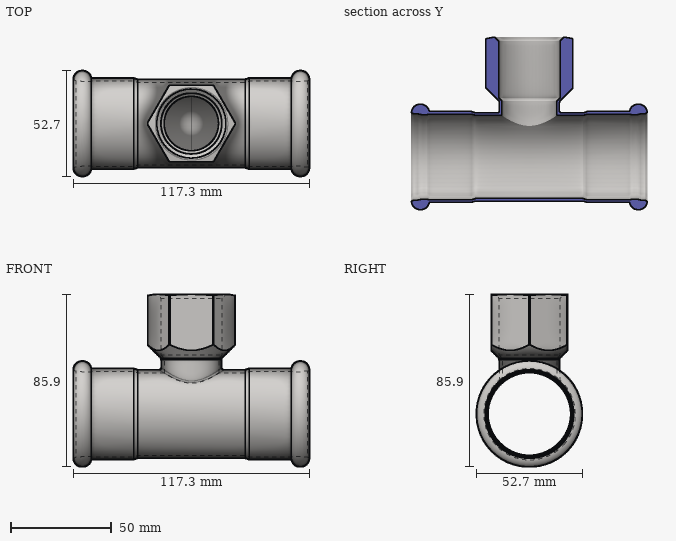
import cadquery as cq
import math


run_length = 117.3
run_outer_r = 44.0 / 2
run_bore_r = 41.0 / 2
socket_outer_r = 45.4 / 2
socket_bore_r = 42.4 / 2
step_outer_x = 28.7
step_inner_x = 26.7
mouth_x = run_length / 2

bead_outer_r = 52.7 / 2
bead_section_r = 4.58
bead_center_r = bead_outer_r - bead_section_r
bead_center_x = mouth_x - bead_section_r
bead_end_x = bead_center_x - math.sqrt(bead_section_r**2 - (socket_outer_r - bead_center_r) ** 2)

mouth_r = 44.0 / 2
lip_r = 42.7 / 2
seal_r = 41.8 / 2
lip_outer_x = mouth_x - 1.2
lip_inner_x = mouth_x - 3.2
seal_outer_x = mouth_x - 5.75
seal_inner_x = mouth_x - 7.85
seal_end_x = mouth_x - 9.1

neck_outer_r = 30.0 / 2
neck_bore_r = 27.0 / 2
neck_fillet = 1.0

total_height = 85.85
nut_top_z = total_height - bead_outer_r
nut_bottom_z = 27.7
nut_across_flats = 38.0
nut_corner_r = 43.5 / 2
nut_face_r = 36.0 / 2
top_cone_drop = 0.7
collar_r = 30.29 / 2
collar_height = 0.7

thread_r = 30.29 / 2
thread_mouth_r = 34.3 / 2


def revolve_about_x(profile):
    """Close a profile drawn in the XZ plane and spin it about the run axis."""
    return profile.close().revolve(360, (0, 0, 0), (1, 0, 0))


def revolve_about_z(profile):
    """Close a profile drawn in the XZ plane and spin it about the branch axis."""
    return profile.close().revolve(360, (0, 0, 0), (0, 1, 0))


def run_outside():
    """Run, sockets and rounded beads as one solid of revolution."""
    return revolve_about_x(
        cq.Workplane("XZ")
        .moveTo(-mouth_x, 0)
        .lineTo(-mouth_x, bead_center_r)
        .threePointArc((-bead_center_x, bead_outer_r), (-bead_end_x, socket_outer_r))
        .lineTo(-step_outer_x, socket_outer_r)
        .lineTo(-step_inner_x, run_outer_r)
        .lineTo(step_inner_x, run_outer_r)
        .lineTo(step_outer_x, socket_outer_r)
        .lineTo(bead_end_x, socket_outer_r)
        .threePointArc((bead_center_x, bead_outer_r), (mouth_x, bead_center_r))
        .lineTo(mouth_x, 0)
    )


def run_with_neck():
    """Outside of the run with the neck blended into it by a fillet."""
    neck = cq.Workplane("XY").circle(neck_outer_r).extrude(nut_bottom_z)
    saddle_low_z = math.sqrt(run_outer_r**2 - neck_outer_r**2)
    margin = 1.0
    around_saddle = cq.selectors.BoxSelector(
        (-neck_outer_r - margin, -neck_outer_r - margin, saddle_low_z - margin),
        (neck_outer_r + margin, neck_outer_r + margin, run_outer_r + margin),
    )
    joined = run_outside().union(neck)
    return joined.edges(around_saddle).edges("not %LINE").fillet(neck_fillet)


def run_bore_half():
    """Bore from the run centre out to the +X mouth, leaving the sealing ridge."""
    return revolve_about_x(
        cq.Workplane("XZ")
        .lineTo(0, run_bore_r)
        .lineTo(step_inner_x, run_bore_r)
        .lineTo(step_outer_x, socket_bore_r)
        .lineTo(seal_end_x, socket_bore_r)
        .lineTo(seal_inner_x, seal_r)
        .lineTo(seal_outer_x, seal_r)
        .tangentArcPoint((lip_inner_x, lip_r), relative=False)
        .lineTo(lip_outer_x, lip_r)
        .lineTo(mouth_x, mouth_r)
        .lineTo(mouth_x, 0)
    )


def collar():
    """Short collar where the nut meets the neck."""
    return (
        cq.Workplane("XY", origin=(0, 0, nut_bottom_z - collar_height))
        .circle(collar_r)
        .extrude(collar_height)
    )


def nut():
    """Hexagon trimmed by a 45 degree cone below and a shallow cone on top."""
    hexagon = (
        cq.Workplane("XY", origin=(0, 0, nut_bottom_z))
        .polygon(6, 2 * nut_across_flats / math.sqrt(3))
        .extrude(nut_top_z - nut_bottom_z)
    )
    envelope = revolve_about_z(
        cq.Workplane("XZ")
        .moveTo(0, nut_bottom_z)
        .lineTo(collar_r, nut_bottom_z)
        .lineTo(nut_corner_r, nut_bottom_z + nut_corner_r - collar_r)
        .lineTo(nut_corner_r, nut_top_z - top_cone_drop)
        .lineTo(nut_face_r, nut_top_z)
        .lineTo(0, nut_top_z)
    )
    return hexagon.intersect(envelope)


def branch_bore():
    """Neck bore, thread bore on a 45 degree cone, and 45 degree thread lead-in."""
    return revolve_about_z(
        cq.Workplane("XZ")
        .lineTo(neck_bore_r, 0)
        .lineTo(neck_bore_r, nut_bottom_z)
        .lineTo(thread_r, nut_bottom_z + thread_r - neck_bore_r)
        .lineTo(thread_r, nut_top_z - (thread_mouth_r - thread_r))
        .lineTo(thread_mouth_r, nut_top_z)
        .lineTo(0, nut_top_z)
    )


bore_half = run_bore_half()
run_bore = bore_half.union(bore_half.mirror("YZ"))
result = run_with_neck().union(collar()).union(nut()).cut(run_bore).cut(branch_bore())